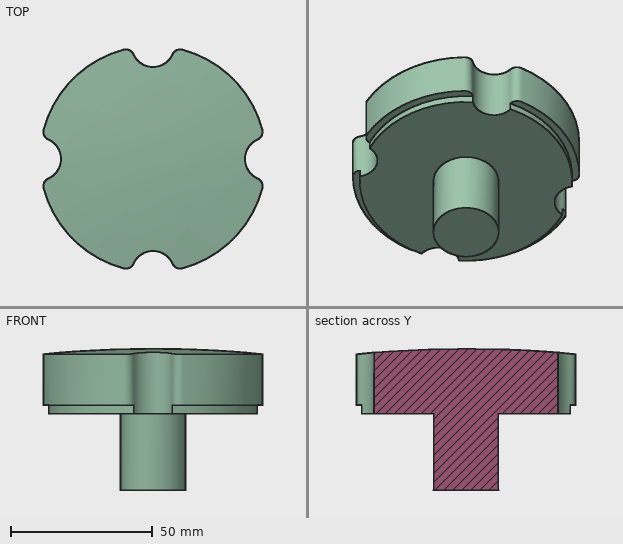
import cadquery as cq
import math

head_diameter = 80.0
head_radius = head_diameter / 2
head_height = 18.0
dome_height = 2.0

notch_count = 4
notch_radius = 7.5
notch_edge_fillet = 3.0

step_radius = 37.5
step_height = 3.0
stem_diameter = 23.0
stem_radius = stem_diameter / 2
stem_height = 27.0

step_bottom = stem_height
head_bottom = step_bottom + step_height
rim_level = head_bottom + head_height
crown_level = rim_level + dome_height


def domed_head():
    """Revolve the head, closing its top with a shallow spherical dome."""
    sphere_radius = (head_radius**2 + dome_height**2) / (2 * dome_height)
    sphere_centre = crown_level - sphere_radius
    mid_radius = head_radius / 2
    mid_level = sphere_centre + math.sqrt(sphere_radius**2 - mid_radius**2)
    return (
        cq.Workplane("XZ")
        .moveTo(0, head_bottom)
        .lineTo(head_radius, head_bottom)
        .lineTo(head_radius, rim_level)
        .threePointArc((mid_radius, mid_level), (0, crown_level))
        .close()
        .revolve(360, (0, 0), (0, 1))
    )


def notches(bottom, top):
    """Vertical cylinders spaced evenly around the rim."""
    return (
        cq.Workplane("XY")
        .workplane(offset=bottom)
        .polarArray(head_radius, 0, 360, notch_count)
        .circle(notch_radius)
        .extrude(top - bottom)
    )


def disc(radius, bottom, height):
    return cq.Workplane("XY").workplane(offset=bottom).circle(radius).extrude(height)


def lobed_outline():
    """Notched prism with rounded notch edges, which trims the domed head."""
    blank = disc(head_radius, head_bottom, crown_level - head_bottom)
    notched = blank.cut(notches(head_bottom, crown_level))
    return notched.edges("|Z").fillet(notch_edge_fillet)


head = domed_head().intersect(lobed_outline())
step = disc(step_radius, step_bottom, step_height).cut(notches(step_bottom, head_bottom))
stem = disc(stem_radius, 0, stem_height)

result = head.union(step).union(stem)